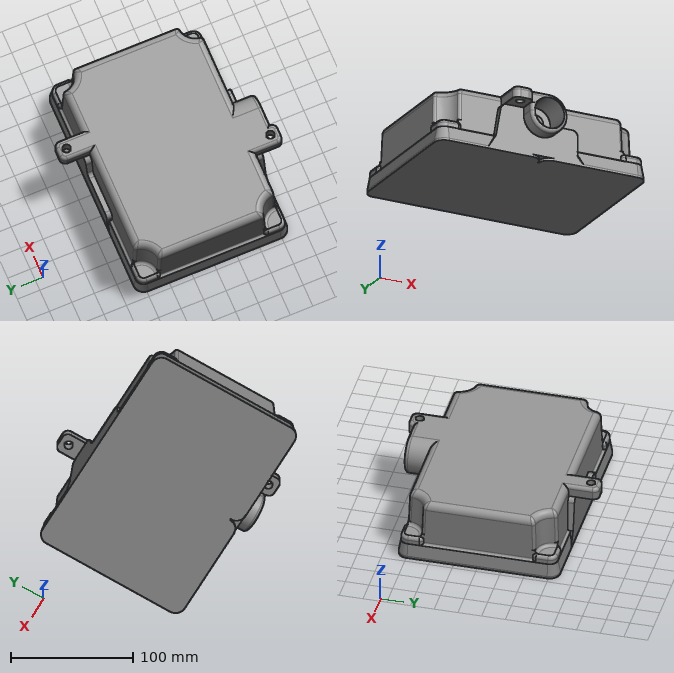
import cadquery as cq
import math

length = 191.5
width = 136.0
height = 52.25
tab_reach = 87.0

rim_height = 2.25
flange_top = 13.0
post_top = 19.75
corner_radius = 9.0
flange_draft = 10.0
flange_cove = 2.0
post_fillet = 3.0
post_draft = 1.5
post_inset = 2.0
post_outline_inset = 1.5
post_straight = 16.0
post_end_radius = 7.5
post_inner = 17.0

cover_inset = 4.2
cover_draft = 2.0
cover_fillet = 6.0
scoop_inset = 6.0
scoop_radius = 14.0
scoop_edge_fillet = 2.5
scoop_floor_fillet = 2.8
plinth_corner_radius = 4.0

tab_x = 27.0
tab_width = 17.5
tab_bottom = 42.0
tab_corner_radius = 5.0
tab_fillet = 3.0
tab_hole_diameter = 7.0
tab_hole_edge = 8.0
root_depth = 18.0
root_y = width / 2 - root_depth

pad_foot_left = 50.2
pad_left = 43.5
pad_left_z = 13.2
pad_left_draft = 10.0
pad_right = 31.4
pad_right_z = 9.0
pad_foot_right = 36.6
pad_fillet = 5.0
pad_step_fillet = 4.0
front_shoulder_z = 30.5
rear_shoulder_z = 23.0
pad_step_top = 13.6
pad_step_draft = 13.0

boss_radius = 16.75
boss_x = -tab_x + tab_width / 2 + boss_radius
boss_z = height - boss_radius
boss_reach = 82.0
boss_fillet = 3.0
bore_radius = 13.5
bore_draft = 0.5
bore_depth = 25.0
plug_diameter = 14.0
plug_length = 10.0

notch_half_width = 9.4
notch_slot = 1.0

select_margin = 0.05
select_window = 1.0

corners = [(sx, sy) for sx in (-1, 1) for sy in (-1, 1)]


def drafted_block(bottom, top, inset, draft):
    """Flange outline, set in by inset at the bottom and drafted inward up to the top."""
    return (
        cq.Workplane("XY", origin=(0, 0, bottom))
        .sketch().rect(length - 2 * inset, width - 2 * inset)
        .vertices().fillet(corner_radius - inset).finalize()
        .extrude(top - bottom, taper=draft)
    )


def make_rim():
    return (
        cq.Workplane("XY").rect(length, width).extrude(rim_height)
        .edges("|Z").fillet(corner_radius)
    )


def corner_prism(sx, sy):
    """Footprint of one corner post: two rounded ends and a corner buried in the cover."""
    end = post_straight + post_end_radius
    end_inset = post_outline_inset + post_end_radius
    mid = post_straight + post_end_radius * math.sqrt(0.5)
    mid_inset = end_inset - post_end_radius * math.sqrt(0.5)

    def at(x, y):
        return (sx * (length / 2 - x), sy * (width / 2 - y))

    return (
        cq.Workplane("XY").moveTo(*at(post_outline_inset, post_outline_inset))
        .lineTo(*at(post_straight, post_outline_inset))
        .threePointArc(at(mid, mid_inset), at(end, end_inset))
        .lineTo(*at(post_inner, post_inner)).lineTo(*at(end_inset, end))
        .threePointArc(at(mid_inset, mid), at(post_outline_inset, post_straight))
        .close().extrude(post_top)
        .faces(">Z").edges().fillet(post_fillet)
    )


def cover_block(top):
    """Drafted cover walls, uncut, from the base plane to the given height."""
    return (
        cq.Workplane("XY").rect(length - 2 * cover_inset, width - 2 * cover_inset)
        .extrude(top, taper=cover_draft)
    )


def scoop(sx, sy, bottom):
    """Round cutter over a corner post, widening upward; its radius is set at the post top."""
    bottom_radius = scoop_radius - (post_top - bottom) * math.tan(math.radians(cover_draft))
    centre = (sx * (length / 2 - scoop_inset), sy * (width / 2 - scoop_inset), bottom)
    return (
        cq.Workplane("XY", origin=centre).circle(bottom_radius)
        .extrude(height - bottom, taper=-cover_draft)
    )


def make_cover():
    """Raised cover with scooped corners and a rounded top."""
    cover = cover_block(height)
    for sx, sy in corners:
        cover = cover.cut(scoop(sx, sy, 0))
    side_edges = cq.selectors.BoxSelector(
        (-length, -width, select_window), (length, width, height - select_window)
    )
    cover = cover.edges(side_edges).fillet(scoop_edge_fillet)
    return cover.faces(">Z").edges().fillet(cover_fillet)


def make_plinth():
    """Foot of the cover, carrying the rounded scoop floors."""
    plinth = cover_block(post_top + scoop_floor_fillet).edges("not #Z").fillet(plinth_corner_radius)
    for sx, sy in corners:
        plinth = plinth.cut(scoop(sx, sy, post_top).faces("<Z").edges().fillet(scoop_floor_fillet))
    return plinth


def make_base():
    """Rim, drafted flange and plinth joined by a cove, with the four corner posts."""
    flange = drafted_block(rim_height, flange_top, 0, flange_draft)
    base = make_rim().union(flange).union(make_plinth())
    foot_inset = cover_inset + flange_top * math.tan(math.radians(cover_draft)) - select_margin
    foot_x = length / 2 - foot_inset
    foot_y = width / 2 - foot_inset
    foot = cq.selectors.BoxSelector(
        (-foot_x, -foot_y, flange_top - select_window), (foot_x, foot_y, flange_top + select_window)
    )
    base = base.edges(foot).fillet(flange_cove)
    post_block = drafted_block(flange_top, post_top, post_inset, post_draft)
    post_block = post_block.faces(">Z").edges().fillet(post_fillet)
    for sx, sy in corners:
        base = base.union(post_block.intersect(corner_prism(sx, sy)))
    return base


def make_tab():
    """Front mounting tab, without its hole."""
    tab = (
        cq.Workplane("XY", origin=(-tab_x, 0, tab_bottom))
        .moveTo(0, -(root_y + tab_reach) / 2)
        .rect(tab_width, tab_reach - root_y).extrude(height - tab_bottom)
    )
    tab = tab.edges("|Z and <Y").fillet(tab_corner_radius)
    return tab.faces(">Z").edges("not >Y").fillet(tab_fillet)


def tab_hole():
    return (
        cq.Workplane("XY", origin=(-tab_x, -(tab_reach - tab_hole_edge), tab_bottom))
        .circle(tab_hole_diameter / 2).extrude(height - tab_bottom)
    )


def make_pad(step_points, step_fillets):
    """Flat pad flush with the front of the rim.

    step_points run from the low right shoulder to the pad top; step_fillets lists
    (x, z, radius) for the corners rounded there.
    """
    rise = tab_bottom - pad_left_z
    left_top = -pad_left + rise * math.tan(math.radians(pad_left_draft))
    outline = [
        (-pad_foot_left, 0), (-pad_foot_left, rim_height), (-pad_left, pad_left_z), (left_top, tab_bottom),
        *reversed(step_points),
        (pad_right, pad_right_z), (pad_foot_right, rim_height), (pad_foot_right, 0),
    ]
    pad = (
        cq.Workplane("XZ", origin=(0, -root_y, 0)).polyline(outline).close()
        .extrude(width / 2 - root_y)
    )
    for x, z, radius in [(left_top, tab_bottom, pad_fillet), *step_fillets]:
        corner = cq.selectors.BoxSelector(
            (x - select_window, -width, z - select_window), (x + select_window, width, z + select_window)
        )
        pad = pad.edges(corner).fillet(radius)
    return pad


def make_front_pad():
    """Front pad; its step up to the tab lies behind the cable boss."""
    shoulder = (pad_right, front_shoulder_z)
    steps = [shoulder, (boss_x, front_shoulder_z), (boss_x, tab_bottom)]
    return make_pad(steps, [(*shoulder, pad_fillet)])


def make_rear_pad():
    """Rear pad, turned half a turn, with a drafted step down to a lower shoulder."""
    shoulder = (pad_right, rear_shoulder_z)
    run = (tab_bottom - rear_shoulder_z) * math.tan(math.radians(pad_step_draft))
    step_foot = (-pad_step_top + run, rear_shoulder_z)
    step_top = (-pad_step_top, tab_bottom)
    fillets = [(*shoulder, pad_fillet), (*step_foot, pad_step_fillet), (*step_top, pad_fillet)]
    return make_pad([shoulder, step_foot, step_top], fillets).rotate((0, 0, 0), (0, 0, 1), 180)


def make_boss():
    """Cable boss: a round nose with a flat left side, bridged to the tab along the top."""
    left = boss_x - boss_radius
    diagonal = boss_radius * math.sqrt(0.5)
    boss = (
        cq.Workplane("XZ", origin=(0, -root_y, 0))
        .moveTo(left, boss_z).lineTo(left, height).lineTo(boss_x, height)
        .threePointArc((boss_x + boss_radius, boss_z), (boss_x, boss_z - boss_radius))
        .threePointArc((boss_x - diagonal, boss_z - diagonal), (left, boss_z))
        .close().extrude(boss_reach - root_y)
        .faces("<Y").edges().fillet(boss_fillet)
    )
    bridge = (
        cq.Workplane("XY")
        .box(boss_x + tab_x, boss_reach - root_y, height - tab_bottom, centered=False)
        .translate((-tab_x, -boss_reach, tab_bottom))
        .edges("<Y and >Z").fillet(boss_fillet)
    )
    return boss.union(bridge)


def make_bore():
    return (
        cq.Workplane("XZ", origin=(boss_x, -boss_reach, boss_z)).circle(bore_radius)
        .extrude(-bore_depth, taper=bore_draft)
    )


def make_plug():
    """Round plug let into the bore floor, flush with it."""
    return (
        cq.Workplane("XZ", origin=(boss_x, -boss_reach + bore_depth, boss_z))
        .circle(plug_diameter / 2).extrude(-plug_length)
    )


def make_notch():
    """Drain slot through the rim height, flared by two convex quarter rounds."""
    face_y = -width / 2
    half_slot = notch_slot / 2
    flare = notch_half_width - half_slot
    near = flare * math.sqrt(0.5)
    far = flare - near
    return (
        cq.Workplane("XY").moveTo(-notch_half_width, face_y)
        .threePointArc((-notch_half_width + near, face_y + far), (-half_slot, face_y + flare))
        .lineTo(half_slot, face_y + flare)
        .threePointArc((notch_half_width - near, face_y + far), (notch_half_width, face_y))
        .close().extrude(rim_height)
    )


def make_housing():
    front_tab = make_tab()
    rear_tab = front_tab.rotate((0, 0, 0), (0, 0, 1), 180)
    housing = make_base().union(make_cover())
    for part in (make_front_pad(), make_rear_pad(), front_tab, rear_tab, make_boss()):
        housing = housing.union(part)
    front_hole = tab_hole()
    rear_hole = front_hole.rotate((0, 0, 0), (0, 0, 1), 180)
    for cut in (front_hole, rear_hole, make_bore(), make_plug(), make_notch()):
        housing = housing.cut(cut)
    return housing


housing = make_housing()
plug = make_plug()

result = cq.Compound.makeCompound([housing.val(), plug.val()])